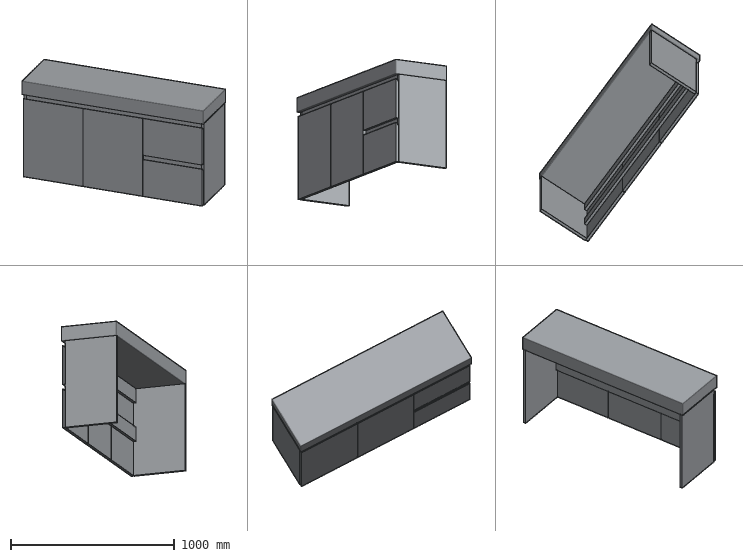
import cadquery as cq

WIDTH = 1200.0
DEPTH = 360.0
HEIGHT = 640.0

BENCHTOP_HEIGHT = 90.0
EDGE_RADIUS = 1.0
OVERHANG = 5.0
BOARD = 18.0
FINGER_GAP = 29.0
BEVEL_DROP = 13.0
BEVEL_LAND = 4.0
FRONT_WIDTH = 392.0
FRONT_SPACING = 2.0
LEFT_CLEARANCE = 4.0
RAIL_HEIGHT = 90.0
DOORS = 2
DRAWERS = 2

carcass_height = HEIGHT - BENCHTOP_HEIGHT
carcass_width = WIDTH - 2 * OVERHANG
carcass_left = -carcass_width / 2
carcass_front = OVERHANG + BOARD
carcass_depth = DEPTH - carcass_front
door_height = carcass_height - FINGER_GAP
drawer_height = (door_height - (DRAWERS - 1) * FINGER_GAP) / DRAWERS


def make_box(size_x, size_y, size_z, corner):
    """Box whose left, front, lower corner is at the given point."""
    return cq.Workplane("XY").box(size_x, size_y, size_z, centered=False).translate(corner)


def make_benchtop():
    slab = make_box(WIDTH, DEPTH, BENCHTOP_HEIGHT, (-WIDTH / 2, 0, carcass_height))
    return slab.edges().fillet(EDGE_RADIUS)


def make_side_panel(left):
    return make_box(BOARD, carcass_depth, carcass_height, (left, carcass_front, 0))


def make_rail(base):
    """Rail between the side panels, closing a finger gap from behind."""
    length = carcass_width - 2 * BOARD
    return make_box(length, BOARD, RAIL_HEIGHT, (carcass_left + BOARD, carcass_front, base))


def make_front(column, base, height):
    """Door or drawer front with its top edge sloped as a finger pull."""
    profile = [
        (OVERHANG, base),
        (carcass_front, base),
        (carcass_front, base + height - BEVEL_DROP),
        (OVERHANG + BEVEL_LAND, base + height),
        (OVERHANG, base + height),
    ]
    left = carcass_left + LEFT_CLEARANCE + column * (FRONT_WIDTH + FRONT_SPACING)
    return cq.Workplane("YZ", origin=(left, 0, 0)).polyline(profile).close().extrude(FRONT_WIDTH)


benchtop = make_benchtop()

side_panels = []
for panel_left in (carcass_left, -carcass_left - BOARD):
    side_panels.append(make_side_panel(panel_left).val())

upper_rail_base = carcass_height - RAIL_HEIGHT
lower_rail_base = drawer_height + (FINGER_GAP - RAIL_HEIGHT) / 2
rails = []
for rail_base in (upper_rail_base, lower_rail_base):
    rails.append(make_rail(rail_base).val())

doors = []
for door_column in range(DOORS):
    doors.append(make_front(door_column, 0, door_height).val())

drawer_fronts = []
for row in range(DRAWERS):
    drawer_base = row * (drawer_height + FINGER_GAP)
    drawer_fronts.append(make_front(DOORS, drawer_base, drawer_height).val())

result = cq.Compound.makeCompound([benchtop.val(), *side_panels, *rails, *doors, *drawer_fronts])